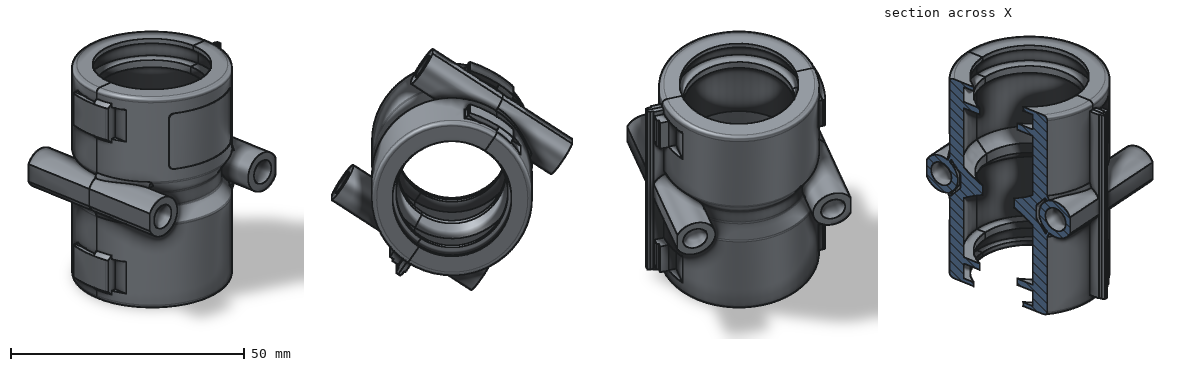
import cadquery as cq
import math

LENGTH = 50.0
DRUM_RADIUS = 17.2
DRUM_INNER_HALF = 5.0
WAIST_RADIUS = 15.0
WAIST_HALF = 1.65
END_FILLET = 1.0
WAIST_FILLET = 0.75

LIP_RADIUS = 12.75
LIP_THICKNESS = 1.1
RIB_RADIUS = 12.0
RIB_TOP = 20.3
RIB_THICKNESS = 1.7
CAVITY_RADIUS = 14.3
THROAT_RADIUS = 11.65
THROAT_HALF = 1.2

TUBE_LENGTH = 36.0
TUBE_RADIUS = 4.5
TUBE_HOLE_RADIUS = 2.7
TUBE_OFFSET = 15.5
TUBE_FLAT = 19.5

WEB_RADIUS = 17.65
WEB_TOP = 5.15
WEB_BOTTOM = 3.9
WEB_ROOT_RADIUS = 16.6
WEB_END = 11.7

CLIP_Z = 18.0
CLIP_HEIGHT = 7.5
FRONT_FLOOR = 15.6
WINDOW_HALF = math.sqrt(DRUM_RADIUS**2 - FRONT_FLOOR**2)
ARM_LEFT = -7.0
ARM_RIGHT = 4.0
ARM_SEAT = 16.6
ARM_FRONT = 18.2
ARM_ARC_RADIUS = 26.0
ARM_TIP_CHAMFER_X = 0.2
ARM_TIP_CHAMFER_Y = 0.35
ARM_ROOT_CHAMFER_X = 0.5
ARM_ROOT_CHAMFER_Y = 0.2
BRACE_RISE = 0.9
BRACE_ROOT = 16.5

BACK_FLOOR = 15.2
BACK_WALL = -3.35
BLOCK_LEFT = -3.45
BLOCK_BACK = 18.8
DRUM_SEAT = math.sqrt(DRUM_RADIUS**2 - BLOCK_LEFT**2)
STEP_LEFT = -2.5
STEP_BACK = 19.27

STRIP_LENGTH = 46.0
STRIP_BASE_HALF = 1.0
STRIP_HALF = 0.7
STRIP_TOP_HALF = 0.5
STRIP_SHOULDER = 19.5
STRIP_BEVEL = 20.16
STRIP_TOP = 20.75

PANEL_BOTTOM = 7.9
PANEL_TOP = 21.1
PANEL_HALF_WIDTH = 9.57
PANEL_CORNER = 1.0
PANEL_DEPTH = 0.1

MARGIN = 1.0
OVERSIZE = 100.0


def block(x0, x1, y0, y1, z0, z1):
    """Box between two opposite corners."""
    return cq.Workplane("XY").box(x1 - x0, y1 - y0, z1 - z0, centered=False).translate((x0, y0, z0))


def clip_block(x0, x1, y0, y1, z):
    """Box as tall as a clip, centred at height z."""
    return block(x0, x1, y0, y1, z - CLIP_HEIGHT / 2, z + CLIP_HEIGHT / 2)


def half_space(side):
    """Everything on one side (-1 left, +1 right) of the seam plane X = 0."""
    return cq.Workplane("XY").box(OVERSIZE, OVERSIZE, OVERSIZE).translate((side * OVERSIZE / 2, 0, 0))


def sleeve_half(side):
    """Outside of one half sleeve: half a revolution on the given side of the seam."""
    half = LENGTH / 2
    sleeve = (
        cq.Workplane("YZ")
        .moveTo(0, -half)
        .lineTo(DRUM_RADIUS, -half)
        .lineTo(DRUM_RADIUS, -DRUM_INNER_HALF)
        .lineTo(WAIST_RADIUS, -WAIST_HALF)
        .lineTo(WAIST_RADIUS, WAIST_HALF)
        .lineTo(DRUM_RADIUS, DRUM_INNER_HALF)
        .lineTo(DRUM_RADIUS, half)
        .lineTo(0, half)
        .close()
        .revolve(180, (0, 0, 0), (0, -side, 0))
    )
    sleeve = sleeve.edges("%CIRCLE").edges("<Z or >Z").fillet(END_FILLET)
    waist_zone = cq.selectors.BoxSelector(
        (-OVERSIZE, -OVERSIZE, -DRUM_INNER_HALF - MARGIN),
        (OVERSIZE, OVERSIZE, DRUM_INNER_HALF + MARGIN),
    )
    return sleeve.edges("%CIRCLE").edges(waist_zone).fillet(WAIST_FILLET)


def bore():
    """Inside of the sleeve: end lips, ribs, cavities and the central throat."""
    end = LENGTH / 2
    slope = CAVITY_RADIUS - THROAT_RADIUS
    upper = [
        (THROAT_RADIUS, THROAT_HALF),
        (CAVITY_RADIUS, THROAT_HALF + slope),
        (CAVITY_RADIUS, RIB_TOP - RIB_THICKNESS),
        (RIB_RADIUS, RIB_TOP - RIB_THICKNESS),
        (RIB_RADIUS, RIB_TOP),
        (CAVITY_RADIUS, RIB_TOP),
        (CAVITY_RADIUS, end - LIP_THICKNESS),
        (LIP_RADIUS, end - LIP_THICKNESS),
        (LIP_RADIUS, end),
    ]
    lower = [(r, -z) for r, z in reversed(upper)]
    outline = [(0, -end)] + lower + upper + [(0, end)]
    return cq.Workplane("XZ").polyline(outline).close().revolve(360, (0, 0, 0), (0, 1, 0))


def tubes(radius):
    """Both bars along X, cut flat on their outer sides."""
    bars = (
        cq.Workplane("YZ")
        .pushPoints([(-TUBE_OFFSET, 0), (TUBE_OFFSET, 0)])
        .circle(radius)
        .extrude(TUBE_LENGTH / 2, both=True)
    )
    return bars.intersect(cq.Workplane("XY").box(TUBE_LENGTH, 2 * TUBE_FLAT, LENGTH))


def hinge_strip():
    profile = [
        (STRIP_BASE_HALF, TUBE_OFFSET),
        (STRIP_BASE_HALF, STRIP_SHOULDER),
        (STRIP_HALF, STRIP_SHOULDER),
        (STRIP_HALF, STRIP_BEVEL),
        (STRIP_TOP_HALF, STRIP_TOP),
    ]
    mirrored = [(-x, y) for x, y in reversed(profile)]
    return cq.Workplane("XY").polyline(profile + mirrored).close().extrude(STRIP_LENGTH / 2, both=True)


def front_window(z):
    """Flat recess in the front of a drum, under the clip."""
    return clip_block(-WINDOW_HALF, WINDOW_HALF, -DRUM_RADIUS - MARGIN, -FRONT_FLOOR, z)


def arm_outline(height):
    """Bowed clip outline, seated on the window floor right of the seam and on the lug left of it."""
    def bow(x):
        return -ARM_FRONT + ARM_ARC_RADIUS - math.sqrt(ARM_ARC_RADIUS**2 - x**2)

    tip_x = ARM_LEFT + ARM_TIP_CHAMFER_X
    root_x = ARM_RIGHT - ARM_ROOT_CHAMFER_X
    return (
        cq.Workplane("XY")
        .moveTo(0, -FRONT_FLOOR)
        .lineTo(0, -ARM_SEAT)
        .lineTo(ARM_LEFT, -ARM_SEAT)
        .lineTo(ARM_LEFT, bow(tip_x) + ARM_TIP_CHAMFER_Y)
        .lineTo(tip_x, bow(tip_x))
        .threePointArc((0, -ARM_FRONT), (root_x, bow(root_x)))
        .lineTo(ARM_RIGHT, bow(root_x) + ARM_ROOT_CHAMFER_Y)
        .lineTo(ARM_RIGHT, -FRONT_FLOOR)
        .close()
        .extrude(height / 2, both=True)
    )


def clip_arm(z):
    """Arm with sloping braces above and below its root."""
    arm = arm_outline(CLIP_HEIGHT)
    top = CLIP_HEIGHT / 2
    base = top + BRACE_RISE
    outer = ARM_FRONT + MARGIN
    upper = [(outer, top), (ARM_FRONT, top), (DRUM_RADIUS, base), (BRACE_ROOT, base)]
    lower = [(r, -z) for r, z in reversed(upper)]
    sloped_ring = (
        cq.Workplane("XZ")
        .polyline(upper + lower)
        .close()
        .revolve(360, (0, 0, 0), (0, 1, 0))
    )
    brace = arm_outline(2 * base).intersect(sloped_ring).intersect(half_space(1))
    return arm.union(brace).translate((0, 0, z))


def label_recess():
    """Shallow rounded-corner recess following the drum."""
    panel = (
        block(0, OVERSIZE, -PANEL_HALF_WIDTH, PANEL_HALF_WIDTH, PANEL_BOTTOM, PANEL_TOP)
        .edges("|X")
        .fillet(PANEL_CORNER)
    )
    floor = cq.Workplane("XY").circle(DRUM_RADIUS - PANEL_DEPTH).extrude(LENGTH / 2)
    return panel.cut(floor)


def tube_webs():
    """Curved webs above and below each tube where it crosses the drum edges."""
    upper = (
        cq.Workplane("XZ")
        .polyline([(DRUM_RADIUS, WEB_TOP), (WEB_RADIUS, WEB_BOTTOM), (WEB_ROOT_RADIUS, WEB_BOTTOM)])
        .close()
        .revolve(360, (0, 0, 0), (0, 1, 0))
        .intersect(block(0, WEB_END, -OVERSIZE, OVERSIZE, 0, LENGTH))
    )
    return upper.union(upper.mirror("XY"))


def plain_half(side):
    """Half sleeve with its tube and strip halves, before clips and bore."""
    tubes_and_strip = tubes(TUBE_RADIUS).union(hinge_strip()).intersect(half_space(side))
    return sleeve_half(side).union(tubes_and_strip)


def hollow(body):
    return body.cut(bore()).cut(tubes(TUBE_HOLE_RADIUS))


def left_half():
    """Half carrying the lugs under the clip arms and the stepped hinge blocks."""
    body = plain_half(-1)
    for z in (-CLIP_Z, CLIP_Z):
        body = body.cut(front_window(z))
        body = body.union(clip_block(ARM_LEFT, 0, -ARM_SEAT, -FRONT_FLOOR, z))
        body = body.cut(clip_block(-DRUM_RADIUS, BACK_WALL, BACK_FLOOR, DRUM_RADIUS, z))
        body = body.union(clip_block(BLOCK_LEFT, 0, DRUM_SEAT, BLOCK_BACK, z))
        body = body.union(clip_block(STEP_LEFT, 0, DRUM_SEAT, STEP_BACK, z))
    return hollow(body)


def right_half():
    """Half carrying the clip arms, the tube webs and the label recess."""
    body = plain_half(1).union(tube_webs()).cut(label_recess())
    for z in (-CLIP_Z, CLIP_Z):
        body = body.cut(front_window(z)).union(clip_arm(z))
    return hollow(body)


left = left_half()
right = right_half()
result = cq.Compound.makeCompound([left.val(), right.val()])